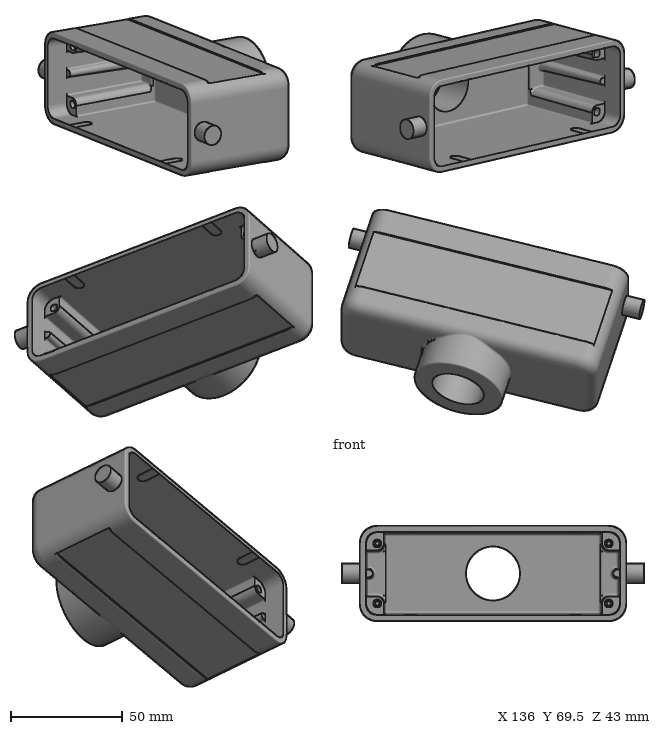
import cadquery as cq
import math

BODY_LENGTH = 120.0
BODY_DEPTH = 55.0
BODY_HEIGHT = 43.0
CORNER_RADIUS = 7.75
BACK_EDGE_RADIUS = 5.0
RIM_RADIUS = 0.6

TOTAL_DEPTH = 69.5
COLLAR_DIAMETER = 41.2
COLLAR_ROOT_RADIUS = 0.8
COLLAR_END_RADIUS = 0.6
ENTRY_DIAMETER = 24.2

PEG_SPAN = 136.0
PEG_DIAMETER = 9.0
PEG_FROM_MOUTH = 6.5

PANEL_DEPTH = 0.9
PANEL_FROM_MOUTH = 12.5
PANEL_WIDTH = 29.4
PANEL_BEVEL_WIDTH = 0.95
PANEL_BEVEL_DROP = 0.25

WALL = 2.8
FLOOR_THICKNESS = 3.0
MOUTH_DEPTH = 10.0
DRAFT_ANGLE = 1.1
FLOOR_RADIUS = 0.9
cavity_half_length = BODY_LENGTH / 2 - WALL
cavity_half_height = BODY_HEIGHT / 2 - WALL
cavity_corner_radius = CORNER_RADIUS - WALL
draft_slope = math.tan(math.radians(DRAFT_ANGLE))
mouth_draft = MOUTH_DEPTH * draft_slope
floor_y = BODY_DEPTH - FLOOR_THICKNESS

SCREW_X = 52.1
SCREW_Z = 13.5
POST_RADIUS = 3.0
POST_ROOT_RADIUS = 0.8
SCREW_HOLE_DIAMETER = 3.6
SCREW_TIP_DIAMETER = 2.0
SCREW_HOLE_DEPTH = 15.0
post_inner_x = SCREW_X - POST_RADIUS
post_inner_z = SCREW_Z - POST_RADIUS

RIB_RADIUS = 1.6
RIB_CENTER_X = 55.7

SHELF_HEIGHT = 2.0
SHELF_EDGE_RADIUS = 0.9
SHELF_EDGE_LENGTH = 20.0
shelf_y = floor_y - SHELF_HEIGHT

SLOT_X = 37.0
SLOT_WIDTH = 5.0
SLOT_LENGTH = 10.0

TOLERANCE = 0.01

FACING_BACK = cq.Plane(origin=(0, 0, 0), xDir=(1, 0, 0), normal=(0, 1, 0))


def section(y):
    """Workplane across the part at depth y; its local y axis points along -Z."""
    return cq.Workplane(FACING_BACK).workplane(offset=y)


def make_body():
    body = section(0).rect(BODY_LENGTH, BODY_HEIGHT).extrude(BODY_DEPTH)
    body = body.edges("|Y").fillet(CORNER_RADIUS)
    body = body.faces(">Y").edges().fillet(BACK_EDGE_RADIUS)
    return body.faces("<Y").edges().fillet(RIM_RADIUS)


def is_collar_root(edge):
    """True for an edge on the collar's outer surface that lies within the body's depth."""
    ends = [edge.startPoint(), edge.endPoint()]
    on_collar = all(abs(math.hypot(p.x, p.z) - COLLAR_DIAMETER / 2) < TOLERANCE for p in ends)
    return on_collar and edge.BoundingBox().ymax < BODY_DEPTH + TOLERANCE


def add_collar(body):
    collar_start = BODY_DEPTH - 2 * BACK_EDGE_RADIUS
    collar = section(collar_start).circle(COLLAR_DIAMETER / 2).extrude(TOTAL_DEPTH - collar_start)
    collar = collar.faces(">Y").edges().fillet(COLLAR_END_RADIUS)
    joined = body.union(collar)
    return joined.edges().filter(is_collar_root).fillet(COLLAR_ROOT_RADIUS)


def add_pegs(body):
    pegs = (
        cq.Workplane("YZ", origin=(-PEG_SPAN / 2, 0, 0))
        .center(PEG_FROM_MOUTH, 0)
        .circle(PEG_DIAMETER / 2)
        .extrude(PEG_SPAN)
    )
    return body.union(pegs)


def cut_panels(body):
    panel = cq.Workplane("XY").box(BODY_LENGTH, PANEL_WIDTH, PANEL_DEPTH, centered=(True, False, True))
    panel = panel.translate((0, PANEL_FROM_MOUTH, (BODY_HEIGHT - PANEL_DEPTH) / 2))
    return body.cut(panel).cut(panel.mirror("XY"))


def bevel_panel_edges(body):
    """Slope the body surface down to the rear edge of each panel, across the panel's length."""
    rear = PANEL_FROM_MOUTH + PANEL_WIDTH
    floor_rise = CORNER_RADIUS - PANEL_DEPTH
    panel_length = BODY_LENGTH - 2 * CORNER_RADIUS + 2 * math.sqrt(CORNER_RADIUS**2 - floor_rise**2)
    band = section(rear).rect(panel_length, 2 * BODY_HEIGHT).extrude(PANEL_BEVEL_WIDTH)
    outline = cq.Sketch().rect(BODY_LENGTH, BODY_HEIGHT).vertices().fillet(CORNER_RADIUS)
    bevel_angle = math.degrees(math.atan(PANEL_BEVEL_DROP / PANEL_BEVEL_WIDTH))
    kept = (
        section(rear + PANEL_BEVEL_WIDTH)
        .placeSketch(outline)
        .extrude(-PANEL_BEVEL_WIDTH, taper=bevel_angle)
    )
    return body.cut(band.cut(kept))


def make_mouth():
    opening = (
        cq.Sketch()
        .rect(2 * cavity_half_length, 2 * cavity_half_height)
        .vertices()
        .fillet(cavity_corner_radius)
    )
    return section(0).placeSketch(opening).extrude(MOUTH_DEPTH, taper=DRAFT_ANGLE)


def make_pocket():
    """Drafted central pocket between the two pairs of screw posts."""
    pocket = (
        section(MOUTH_DEPTH)
        .rect(2 * post_inner_x, 2 * (cavity_half_height - mouth_draft))
        .extrude(floor_y - MOUTH_DEPTH, taper=DRAFT_ANGLE)
    )
    return pocket.edges("not(<Y or >Y)").fillet(POST_ROOT_RADIUS).faces(">Y").edges().fillet(FLOOR_RADIUS)


def make_alcove():
    """Drafted space between the posts at the +X end, with the guide rib left standing."""
    x_end = cavity_half_length - mouth_draft
    x_start = post_inner_x - POST_RADIUS
    x_post = post_inner_x + POST_RADIUS * (1 - math.sqrt(0.5))
    z_post = SCREW_Z - POST_RADIUS * math.sqrt(0.5)
    outline = (
        section(MOUTH_DEPTH)
        .moveTo(x_start, -SCREW_Z)
        .lineTo(post_inner_x, -SCREW_Z)
        .threePointArc((x_post, -z_post), (SCREW_X, -post_inner_z))
        .lineTo(x_end, -post_inner_z)
        .lineTo(x_end, -RIB_RADIUS)
        .lineTo(RIB_CENTER_X, -RIB_RADIUS)
        .threePointArc((RIB_CENTER_X - RIB_RADIUS, 0), (RIB_CENTER_X, RIB_RADIUS))
        .lineTo(x_end, RIB_RADIUS)
        .lineTo(x_end, post_inner_z)
        .lineTo(SCREW_X, post_inner_z)
        .threePointArc((x_post, z_post), (post_inner_x, SCREW_Z))
        .lineTo(x_start, SCREW_Z)
        .close()
    )
    alcove = outline.extrude(shelf_y - MOUTH_DEPTH, taper=DRAFT_ANGLE)
    rib_middle_x = (RIB_CENTER_X + x_end) / 2
    end_wall_corners = alcove.edges("not(<Y or >Y)").filter(lambda edge: edge.Center().x > rib_middle_x)
    alcove = end_wall_corners.fillet(POST_ROOT_RADIUS)
    shelf_edges = alcove.faces(">Y").edges("not <X")
    return shelf_edges.fillet(FLOOR_RADIUS)


def make_shelf_rounding():
    """Sliver of space above the rounded front edge of the +X shelf."""
    x_front = post_inner_x - (shelf_y - MOUTH_DEPTH) * draft_slope
    x_back = x_front + SHELF_EDGE_RADIUS
    y_deep = shelf_y + SHELF_EDGE_RADIUS
    diagonal = SHELF_EDGE_RADIUS * math.sqrt(0.5)
    return (
        cq.Workplane("XY", origin=(0, 0, -SHELF_EDGE_LENGTH / 2))
        .moveTo(x_back, shelf_y)
        .threePointArc((x_back - diagonal, y_deep - diagonal), (x_front, y_deep))
        .lineTo(x_front - SHELF_EDGE_RADIUS, y_deep)
        .lineTo(x_front - SHELF_EDGE_RADIUS, shelf_y - SHELF_EDGE_RADIUS)
        .lineTo(x_back, shelf_y - SHELF_EDGE_RADIUS)
        .close()
        .extrude(SHELF_EDGE_LENGTH)
    )


def make_cavity():
    alcove = make_alcove()
    cavity = make_pocket().union(alcove).union(alcove.mirror("YZ"))
    rounding = make_shelf_rounding()
    cavity = cavity.union(rounding).union(rounding.mirror("YZ"))
    return make_mouth().union(cavity)


def keying_slots():
    """Undrafted slots, so that their depth grows from nothing at the mouth as the walls close in."""
    length = SLOT_LENGTH - SLOT_WIDTH / 2
    round_ends = (
        cq.Workplane("XY", origin=(0, 0, -cavity_half_height))
        .pushPoints([(-SLOT_X, length), (SLOT_X, length)])
        .circle(SLOT_WIDTH / 2)
        .extrude(2 * cavity_half_height)
    )
    channels = (
        cq.Workplane("XY", origin=(0, 0, -cavity_half_height))
        .pushPoints([(-SLOT_X, length / 2), (SLOT_X, length / 2)])
        .rect(SLOT_WIDTH, length)
        .extrude(2 * cavity_half_height)
    )
    return round_ends.union(channels)


def screw_holes():
    taper = math.degrees(math.atan((SCREW_HOLE_DIAMETER - SCREW_TIP_DIAMETER) / 2 / SCREW_HOLE_DEPTH))
    return (
        section(MOUTH_DEPTH)
        .rect(2 * SCREW_X, 2 * SCREW_Z, forConstruction=True)
        .vertices()
        .circle(SCREW_HOLE_DIAMETER / 2)
        .extrude(SCREW_HOLE_DEPTH, taper=taper)
    )


def cut_entry(body):
    return body.cut(section(0).circle(ENTRY_DIAMETER / 2).extrude(TOTAL_DEPTH))


hood = add_collar(make_body())
hood = bevel_panel_edges(cut_panels(hood))
hood = add_pegs(hood)
hood = hood.cut(make_cavity())
hood = hood.cut(screw_holes())
hood = hood.cut(keying_slots())
result = cut_entry(hood)